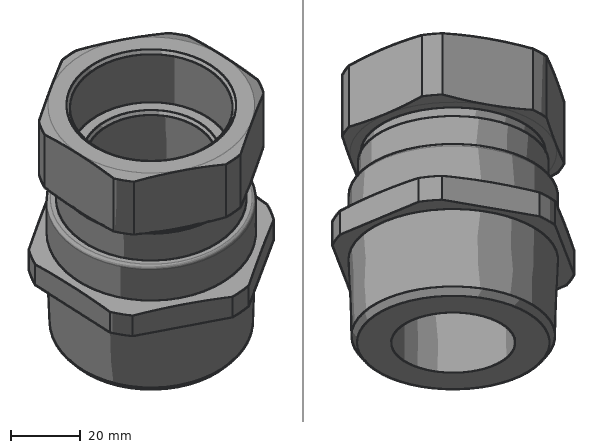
import cadquery as cq
import math

TOTAL_HEIGHT = 84.25
THREAD_CHAMFER_HEIGHT = 2.2
FLANGE_BOTTOM = 27.1
FLANGE_TOP = 36.1
COLLAR_TOP = 48.95
SHOULDER_TOP = 59.15
BODY_TOP = 64.95

THREAD_END_RADIUS = 27.6
THREAD_LOW_RADIUS = 29.2
COLLAR_RADIUS = 30.1
COLLAR_FILLET = 1.1
SHOULDER_RADIUS = 27.4
NECK_RADIUS = 26.5
BORE_RADIUS = 17.8
BORE_MOUTH_RADIUS = 18.95
BORE_RIM_RADIUS = 20.0

FLANGE_ACROSS_FLATS = 65.0
FLANGE_CORNER_DIAMETER = 71.5
FLANGE_BEVEL = 1.1

NUT_BOTTOM = 62.4
NUT_ACROSS_FLATS = 59.65
NUT_CORNER_DIAMETER = 65.7
NUT_FACE_RADIUS = 29.65
NUT_BEVEL = 0.85
NUT_BORE_RADIUS = 23.3
NUT_BORE_CHAMFER = 1.0


def hex_prism(bottom, top, across_flats, corner_diameter, face_radius, bevel, bevel_bottom):
    """Hexagon with flats facing +X and -X, rounded corners and conically bevelled faces."""
    across_corners = across_flats / math.cos(math.radians(30))
    prism = (
        cq.Workplane("XY")
        .workplane(offset=bottom)
        .polygon(6, across_corners)
        .extrude(top - bottom)
        .rotate((0, 0, 0), (0, 0, 1), 30)
    )
    corner_radius = corner_diameter / 2
    envelope = cq.Workplane("XZ").moveTo(0, bottom)
    if bevel_bottom:
        envelope = envelope.lineTo(face_radius, bottom).lineTo(corner_radius, bottom + bevel)
    else:
        envelope = envelope.lineTo(corner_radius, bottom)
    envelope = (
        envelope.lineTo(corner_radius, top - bevel)
        .lineTo(face_radius, top)
        .lineTo(0, top)
        .close()
        .revolve(360, (0, 0, 0), (0, 1, 0))
    )
    return prism.intersect(envelope)


def make_gland_body():
    """Turned body with a tapered thread blank, hexagonal flange, stepped neck and tapered through bore."""
    turned = (
        cq.Workplane("XZ")
        .lineTo(THREAD_END_RADIUS, 0)
        .lineTo(THREAD_LOW_RADIUS, THREAD_CHAMFER_HEIGHT)
        .lineTo(COLLAR_RADIUS, FLANGE_BOTTOM)
        .lineTo(COLLAR_RADIUS, COLLAR_TOP - COLLAR_FILLET)
        .radiusArc((COLLAR_RADIUS - COLLAR_FILLET, COLLAR_TOP), -COLLAR_FILLET)
        .lineTo(SHOULDER_RADIUS, COLLAR_TOP)
        .lineTo(SHOULDER_RADIUS, SHOULDER_TOP)
        .lineTo(NECK_RADIUS, SHOULDER_TOP)
        .lineTo(NECK_RADIUS, BODY_TOP)
        .lineTo(0, BODY_TOP)
        .close()
        .revolve(360, (0, 0, 0), (0, 1, 0))
    )
    flange = hex_prism(
        FLANGE_BOTTOM, FLANGE_TOP, FLANGE_ACROSS_FLATS, FLANGE_CORNER_DIAMETER,
        COLLAR_RADIUS, FLANGE_BEVEL, bevel_bottom=False,
    )
    rim_chamfer = BORE_RIM_RADIUS - BORE_MOUTH_RADIUS
    mouth_height = BODY_TOP - rim_chamfer
    bore = (
        cq.Workplane("XZ")
        .lineTo(BORE_RADIUS, 0)
        .lineTo(BORE_MOUTH_RADIUS, mouth_height)
        .lineTo(BORE_RIM_RADIUS, BODY_TOP)
        .lineTo(0, BODY_TOP)
        .close()
        .revolve(360, (0, 0, 0), (0, 1, 0))
    )
    return turned.union(flange).cut(bore)


def make_nut():
    """Hexagonal nut whose counterbore seats on the neck of the gland body."""
    blank = hex_prism(
        NUT_BOTTOM, TOTAL_HEIGHT, NUT_ACROSS_FLATS, NUT_CORNER_DIAMETER,
        NUT_FACE_RADIUS, NUT_BEVEL, bevel_bottom=True,
    )
    opening = (
        cq.Workplane("XZ")
        .moveTo(0, NUT_BOTTOM)
        .lineTo(NECK_RADIUS, NUT_BOTTOM)
        .lineTo(NECK_RADIUS, BODY_TOP)
        .lineTo(NUT_BORE_RADIUS, BODY_TOP)
        .lineTo(NUT_BORE_RADIUS, TOTAL_HEIGHT - NUT_BORE_CHAMFER)
        .lineTo(NUT_BORE_RADIUS + NUT_BORE_CHAMFER, TOTAL_HEIGHT)
        .lineTo(0, TOTAL_HEIGHT)
        .close()
        .revolve(360, (0, 0, 0), (0, 1, 0))
    )
    return blank.cut(opening)


gland_body = make_gland_body()
nut = make_nut()
result = cq.Compound.makeCompound([gland_body.val(), nut.val()])